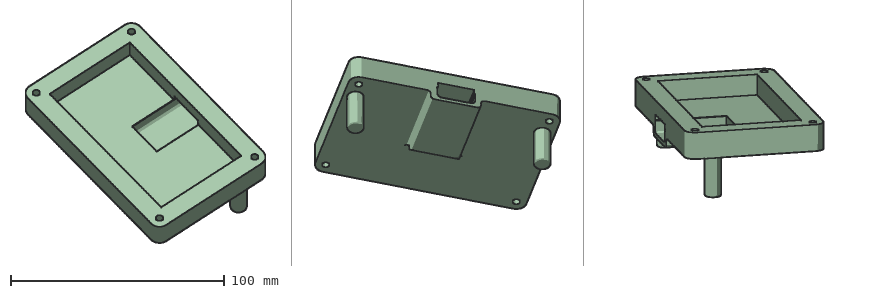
import cadquery as cq

length = 103.0
width = 67.2
body_height = 13.0
corner_radius = 5.0

pocket_length = 84.0
pocket_width = 48.0
floor_thickness = 3.0

hole_diameter = 3.4

overall_height = 33.0
leg_length = overall_height - body_height
leg_diameter = 8.0
leg_offset_x = 45.5
leg_y = 19.6
leg_end_fillet = 1.0

channel_center_x = 0.36
channel_width = 18.4
channel_length = 34.5
channel_bottom_z = -3.0
channel_fillet = 2.1

opening_width = 17.7
opening_height = 3.0
opening_top_z = floor_thickness + opening_height
groove_diameter = 0.89

housing_center_x = 0.5
housing_width = 24.5
housing_wall = 3.0
housing_length = channel_length + housing_wall
housing_depth = 5.0
housing_fillet = 2.0

back_y = width / 2


def block_from_back(center_x, block_width, block_length, bottom_z, top_z):
    """Box running forward from the +Y face."""
    return (
        cq.Workplane("XY", origin=(center_x, back_y - block_length / 2, bottom_z))
        .rect(block_width, block_length)
        .extrude(top_z - bottom_z)
    )


def make_body():
    return (
        cq.Workplane("XY")
        .rect(length, width)
        .extrude(body_height)
        .edges("|Z")
        .fillet(corner_radius)
    )


def add_housing(body):
    """Join the housing, blend its foot into the body and round its lower rim."""
    housing = block_from_back(
        housing_center_x, housing_width, housing_length, -housing_depth, floor_thickness
    )
    joined = body.union(housing)

    half_width = housing_width / 2
    margin = 0.1

    def rim_edges(z):
        return cq.selectors.BoxSelector(
            (housing_center_x - half_width - margin, back_y - housing_length - margin, z - margin),
            (housing_center_x + half_width + margin, back_y - margin, z + margin),
        )

    joined = joined.edges(rim_edges(0)).fillet(housing_fillet)
    return joined.edges(rim_edges(-housing_depth)).fillet(housing_fillet)


def make_legs():
    return (
        cq.Workplane("XY")
        .pushPoints([(-leg_offset_x, leg_y), (leg_offset_x, leg_y)])
        .circle(leg_diameter / 2)
        .extrude(-leg_length)
        .faces("<Z")
        .fillet(leg_end_fillet)
    )


def make_pocket():
    return (
        cq.Workplane("XY", origin=(0, 0, floor_thickness))
        .rect(pocket_length, pocket_width)
        .extrude(body_height - floor_thickness)
    )


def make_channel():
    """Sunken channel, the opening above it and the two side grooves."""
    sunken_part = block_from_back(
        channel_center_x, channel_width, channel_length, channel_bottom_z, floor_thickness
    )
    sunken_part = sunken_part.faces("<Z").edges("|Y").fillet(channel_fillet)
    opening = block_from_back(
        channel_center_x, opening_width, channel_length, floor_thickness, opening_top_z
    )
    grooves = (
        cq.Workplane("XZ", origin=(channel_center_x, back_y, floor_thickness))
        .pushPoints([(-opening_width / 2, 0), (opening_width / 2, 0)])
        .circle(groove_diameter / 2)
        .extrude(channel_length)
    )
    return sunken_part.union(opening).union(grooves)


def make_screw_holes():
    return (
        cq.Workplane("XY")
        .rect(length - 2 * corner_radius, width - 2 * corner_radius, forConstruction=True)
        .vertices()
        .circle(hole_diameter / 2)
        .extrude(body_height)
    )


result = (
    add_housing(make_body())
    .union(make_legs())
    .cut(make_pocket())
    .cut(make_channel())
    .cut(make_screw_holes())
)